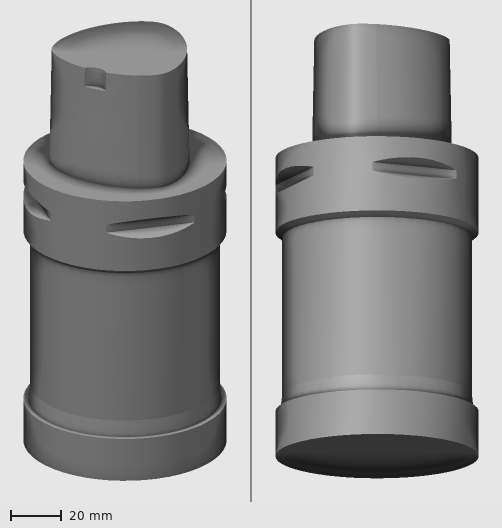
import cadquery as cq
import math

total_height = 168.0
base_height = 18.0
flare_top = 24.7
collar_bottom = 88.0
collar_chamfer_height = 2.0
collar_top = 120.0

collar_diameter = 80.0
barrel_diameter = 74.6
flare_diameter = 76.1

shank_root_width = 55.1
shank_tip_width = 53.3
lobe_height = 2.2
flank_half_angle = 26.0
points_per_face = 9

notch_width = 10.0
notch_depth = 7.9
notch_radius = 5.9
notch_inner_y = -21.8

groove_count = 4
groove_first_angle = 45.0
groove_height = 107.9
groove_floor_distance = 35.6
groove_floor_width = 3.4
groove_flank_angle = 30.0
groove_overcut = 1.7

collar_radius = collar_diameter / 2
barrel_radius = barrel_diameter / 2
flare_radius = flare_diameter / 2


def lobed_point(normal_angle, width, height):
    """Point of the lobed outline whose outward normal is at normal_angle, measured from -Y."""
    support = width / 2 - lobe_height * math.cos(3 * normal_angle)
    slope = 3 * lobe_height * math.sin(3 * normal_angle)
    sine = math.sin(normal_angle)
    cosine = math.cos(normal_angle)
    return cq.Vector(support * sine + slope * cosine, slope * sine - support * cosine, height)


def lobed_edge(start_angle, end_angle, width, height):
    """One face's stretch of the outline, tangent to its neighbours."""
    start = math.radians(start_angle)
    end = math.radians(end_angle)
    step = (end - start) / (points_per_face - 1)
    points = [lobed_point(start + i * step, width, height) for i in range(points_per_face)]
    tangents = [cq.Vector(math.cos(angle), math.sin(angle), 0) for angle in (start, end)]
    return cq.Edge.makeSpline(points, tangents=tangents)


def lobed_wire(width, height):
    """Closed outline of three shallow flanks alternating with three rounded lobes."""
    edges = []
    for flank_angle in (0, 120, 240):
        flank_start = flank_angle - flank_half_angle
        flank_end = flank_angle + flank_half_angle
        next_flank_start = flank_start + 120
        edges.append(lobed_edge(flank_start, flank_end, width, height))
        edges.append(lobed_edge(flank_end, next_flank_start, width, height))
    return cq.Wire.assembleEdges(edges)


def make_shank():
    """Tapered lobed shank with a round-backed drive notch at its tip."""
    root = lobed_wire(shank_root_width, collar_top)
    tip = lobed_wire(shank_tip_width, total_height)
    shank = cq.Workplane(cq.Solid.makeLoft([root, tip], True))
    half_width = notch_width / 2
    arc_rise = notch_radius - math.sqrt(notch_radius**2 - half_width**2)
    arc_end_y = notch_inner_y - arc_rise
    open_y = -shank_root_width / 2
    notch = (
        cq.Workplane("XY", origin=(0, 0, total_height - notch_depth))
        .moveTo(-half_width, open_y)
        .lineTo(-half_width, arc_end_y)
        .threePointArc((0, notch_inner_y), (half_width, arc_end_y))
        .lineTo(half_width, open_y)
        .close()
        .extrude(notch_depth)
    )
    return shank.cut(notch)


def make_groove(angle):
    """Straight groove with a flat floor and sloping flanks, cut across the collar."""
    half_floor = groove_floor_width / 2
    outer_distance = collar_radius + groove_overcut
    flank_rise = (outer_distance - groove_floor_distance) * math.tan(math.radians(groove_flank_angle))
    half_mouth = half_floor + flank_rise
    return (
        cq.Workplane("XZ")
        .moveTo(groove_floor_distance, groove_height - half_floor)
        .lineTo(outer_distance, groove_height - half_mouth)
        .lineTo(outer_distance, groove_height + half_mouth)
        .lineTo(groove_floor_distance, groove_height + half_floor)
        .close()
        .extrude(collar_radius, both=True)
        .rotate((0, 0, 0), (0, 0, 1), angle)
    )


def make_adapter():
    """Barrel with a flared foot, a grooved collar and the lobed shank on top."""
    adapter = (
        cq.Workplane("XZ")
        .moveTo(0, base_height)
        .lineTo(flare_radius, base_height)
        .lineTo(barrel_radius, flare_top)
        .lineTo(barrel_radius, collar_bottom)
        .lineTo(collar_radius, collar_bottom + collar_chamfer_height)
        .lineTo(collar_radius, collar_top)
        .lineTo(0, collar_top)
        .close()
        .revolve(360, (0, 0, 0), (0, 1, 0))
    )
    for index in range(groove_count):
        adapter = adapter.cut(make_groove(groove_first_angle + index * 360 / groove_count))
    return adapter.union(make_shank())


def make_base():
    """Plain round base under the adapter."""
    return cq.Workplane("XY").circle(collar_radius).extrude(base_height)


adapter = make_adapter()
base = make_base()

result = cq.Compound.makeCompound([adapter.val(), base.val()])